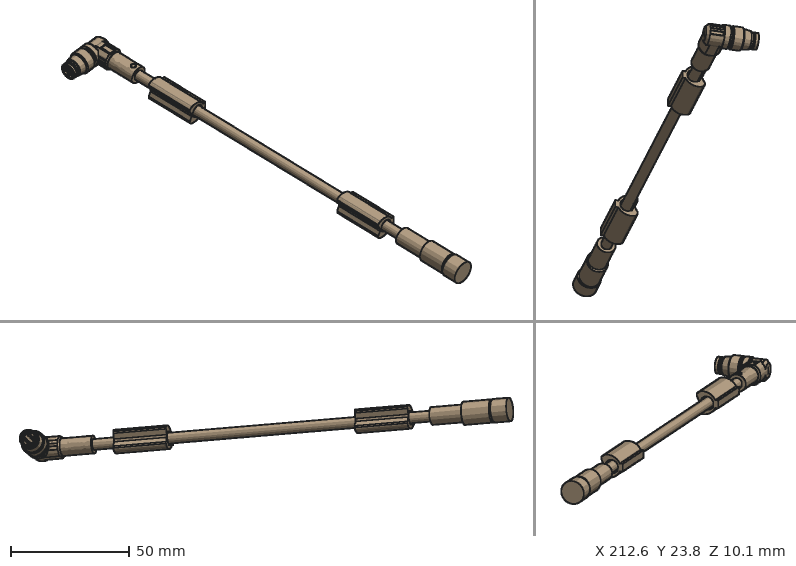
import cadquery as cq
import math


CABLE_RADIUS = 2.35
CABLE_START = 5.0

ELBOW_RADIUS = 4.6
ELBOW_TOP = 4.7
ELBOW_CHAMFER = 1.4
ELBOW_RIM_RADIUS = 5.05
ELBOW_RIM_START = -3.0
ELBOW_END = -5.6
NECK_RADIUS = 3.9
ELBOW_GRIP_START = -2.4
ELBOW_GRIP_END = 3.1
NUT_RADIUS = 5.05
NUT_START = -6.6
NUT_END = -11.2
NUT_CHAMFER = 0.5
BARREL_START_RADIUS = 4.5
BARREL_END_RADIUS = 4.0
BARREL_END = -15.0
TIP_RADIUS = 3.65
TIP_GROOVE_RADIUS = 3.3
TIP_GROOVE_START = -16.0
TIP_GROOVE_END = -16.7
TIP_END = -18.2
SOCKET_RADIUS = 3.0
SOCKET_DEPTH = 3.0

PIN_COUNT = 4
PIN_RADIUS = 0.5
PIN_CIRCLE_RADIUS = 1.75
PIN_END = -18.56

ARM_RADIUS = 4.9
ARM_HALF_HEIGHT = 4.45
ARM_END = 9.6
ARM_CHAMFER = 0.7
GRIP_START = 3.4
GRIP_END = 8.8
GRIP_DEPTH = 0.35
TOP_GRIP_WIDTH = 2.7
SIDE_GRIP_WIDTH = 1.5
SIDE_GRIP_OFFSET = 1.35

SLEEVE_HALF_WIDTH = 4.1
SLEEVE_HALF_HEIGHT = 3.8
ELBOW_SLEEVE_END = 23.4
DIMPLE_X = 20.6
DIMPLE_RADIUS = 1.1
DIMPLE_DEPTH = 0.4

STRAIGHT_SLEEVE_START = 173.2
COLLAR_START = 187.4
COLLAR_END = 199.7
COLLAR_HALF_HEIGHT = 5.0
COLLAR_HALF_WIDTH = 4.7
COLLAR_NECK_RADIUS = 2.9
SOCKET_NUT_START = 200.6
SOCKET_NUT_END = 207.56
SOCKET_NUT_HALF_WIDTH = 5.2
SOCKET_NUT_HALF_HEIGHT = 5.05

CLIP_STARTS = (33.5, 140.4)
CLIP_LENGTH = 23.4
CLIP_HALF_HEIGHT = 5.05
CLIP_ARC_RADIUS = 6.0
CLIP_ARC_CENTER_Z = CLIP_HALF_HEIGHT - CLIP_ARC_RADIUS
CLIP_CREST_Y = -1.6
CLIP_SHOULDER_Y = -3.4
CLIP_FRONT_Y = -4.75
CLIP_NOSE_Z = 3.6
CLIP_LIP_Z = 2.8
CLIP_GROOVE_Y = -3.6
CLIP_GROOVE_HALF_HEIGHT = 0.6
CLIP_RIB_Y = 5.1
CLIP_RIB_HALF_HEIGHT = 1.7
CLIP_CLEARANCE_RADIUS = 2.95
CLIP_CLEARANCE_DEPTH = 8.0


def rod(start, end, radius):
    """Solid cylinder on the cable axis."""
    return cq.Workplane("YZ", origin=(start, 0, 0)).circle(radius).extrude(end - start)


def oval_rod(start, end, half_width, half_height):
    """Solid elliptic cylinder on the cable axis."""
    section = cq.Workplane("YZ", origin=(start, 0, 0)).ellipse(half_width, half_height)
    return section.extrude(end - start)


def grip_cutter(radius, start, end):
    """Two shallow recesses, one above the other, in the -Y side of a rod on the cable axis."""
    length = end - start
    ring = rod(start, end, radius).cut(rod(start, end, radius - GRIP_DEPTH))
    windows = (
        cq.Workplane("XZ")
        .pushPoints([((start + end) / 2, side * SIDE_GRIP_OFFSET) for side in (-1, 1)])
        .rect(length, SIDE_GRIP_WIDTH)
        .extrude(radius)
    )
    return ring.intersect(windows)


def make_plug():
    """Stepped body of the elbow plug, with a round socket in its tip."""
    profile = [
        (0, ELBOW_TOP),
        (ELBOW_RADIUS - ELBOW_CHAMFER, ELBOW_TOP),
        (ELBOW_RADIUS, ELBOW_TOP - ELBOW_CHAMFER),
        (ELBOW_RADIUS, ELBOW_RIM_START),
        (ELBOW_RIM_RADIUS, ELBOW_RIM_START),
        (ELBOW_RIM_RADIUS, ELBOW_END),
        (NECK_RADIUS, ELBOW_END),
        (NECK_RADIUS, NUT_START),
        (NUT_RADIUS - NUT_CHAMFER, NUT_START),
        (NUT_RADIUS, NUT_START - NUT_CHAMFER),
        (NUT_RADIUS, NUT_END),
        (BARREL_START_RADIUS, NUT_END - NUT_CHAMFER),
        (BARREL_END_RADIUS, BARREL_END),
        (TIP_RADIUS, BARREL_END),
        (TIP_RADIUS, TIP_GROOVE_START),
        (TIP_GROOVE_RADIUS, TIP_GROOVE_START),
        (TIP_GROOVE_RADIUS, TIP_GROOVE_END),
        (TIP_RADIUS, TIP_GROOVE_END),
        (TIP_RADIUS, TIP_END),
        (SOCKET_RADIUS, TIP_END),
        (SOCKET_RADIUS, TIP_END + SOCKET_DEPTH),
        (0, TIP_END + SOCKET_DEPTH),
    ]
    plug = cq.Workplane("XY").polyline(profile).close().revolve(360, (0, 0, 0), (0, 1, 0))
    grips = grip_cutter(ELBOW_RADIUS, -ELBOW_GRIP_END, -ELBOW_GRIP_START)
    return plug.cut(grips.rotate((0, 0, 0), (0, 0, 1), -90))


def make_pins():
    """Contact pins standing on the socket floor."""
    socket_floor = TIP_END + SOCKET_DEPTH
    return (
        cq.Workplane("XZ", origin=(0, socket_floor, 0))
        .polarArray(PIN_CIRCLE_RADIUS, 0, 360, PIN_COUNT)
        .circle(PIN_RADIUS)
        .extrude(socket_floor - PIN_END)
    )


def make_arm():
    """Elbow arm along the cable: a flattened cylinder with shallow grip recesses."""
    arm = rod(0, ARM_END, ARM_RADIUS).faces(">X").chamfer(ARM_CHAMFER)
    flats = cq.Workplane("XY").box(2 * ARM_END, 2 * ARM_RADIUS, 2 * ARM_HALF_HEIGHT)
    arm = arm.intersect(flats)
    grip_length = GRIP_END - GRIP_START
    grip_x = (GRIP_START + GRIP_END) / 2
    top_grip = cq.Workplane("XY").box(grip_length, TOP_GRIP_WIDTH, 2 * GRIP_DEPTH)
    arm = arm.cut(top_grip.translate((grip_x, 0, ARM_HALF_HEIGHT)))
    side_grips = grip_cutter(ARM_RADIUS, GRIP_START, GRIP_END)
    return arm.cut(side_grips)


def make_elbow_sleeve():
    """Oval sleeve between arm and cable, with a small dimple on top."""
    dimple = (
        cq.Workplane("XY", origin=(DIMPLE_X, 0, SLEEVE_HALF_HEIGHT - DIMPLE_DEPTH))
        .circle(DIMPLE_RADIUS)
        .extrude(2 * DIMPLE_DEPTH)
    )
    sleeve = oval_rod(0, ELBOW_SLEEVE_END, SLEEVE_HALF_WIDTH, SLEEVE_HALF_HEIGHT)
    return sleeve.cut(dimple)


def make_straight_connector():
    """Sleeve, oval collar, neck and coupling nut at the far end of the cable."""
    collar = oval_rod(COLLAR_START, COLLAR_END, COLLAR_HALF_WIDTH, COLLAR_HALF_HEIGHT)
    nut = oval_rod(SOCKET_NUT_START, SOCKET_NUT_END, SOCKET_NUT_HALF_WIDTH, SOCKET_NUT_HALF_HEIGHT)
    sleeve = oval_rod(STRAIGHT_SLEEVE_START, COLLAR_START, SLEEVE_HALF_WIDTH, SLEEVE_HALF_HEIGHT)
    return (
        sleeve
        .union(collar)
        .union(rod(COLLAR_END, SOCKET_NUT_START, COLLAR_NECK_RADIUS))
        .union(nut)
    )


def clip_arc_z(y):
    """Height of the clip's upper arc at a given y."""
    return CLIP_ARC_CENTER_Z + math.sqrt(CLIP_ARC_RADIUS**2 - (y - CLIP_CREST_Y) ** 2)


def clip_arc_y(z):
    """Rear y of the clip's upper arc at a given height."""
    return CLIP_CREST_Y + math.sqrt(CLIP_ARC_RADIUS**2 - (z - CLIP_ARC_CENTER_Z) ** 2)


def make_clip(start):
    """Marker clip: rounded body, V groove in front, rib behind, relieved bore ends."""
    rib_root_y = clip_arc_y(CLIP_RIB_HALF_HEIGHT)
    shoulder_z = clip_arc_z(CLIP_SHOULDER_Y)
    upper_half = (
        cq.Workplane("YZ", origin=(start, 0, 0))
        .moveTo(CLIP_RIB_Y, 0)
        .lineTo(CLIP_RIB_Y, CLIP_RIB_HALF_HEIGHT)
        .lineTo(rib_root_y, CLIP_RIB_HALF_HEIGHT)
        .threePointArc((CLIP_CREST_Y, CLIP_HALF_HEIGHT), (CLIP_SHOULDER_Y, shoulder_z))
        .tangentArcPoint((CLIP_FRONT_Y, CLIP_NOSE_Z), relative=False)
        .lineTo(CLIP_FRONT_Y, CLIP_LIP_Z)
        .lineTo(CLIP_GROOVE_Y, CLIP_GROOVE_HALF_HEIGHT)
        .lineTo(CLIP_GROOVE_Y, 0)
        .close()
        .extrude(CLIP_LENGTH)
    )
    clip = upper_half.union(upper_half.mirror("XY"))
    end = start + CLIP_LENGTH
    clip = clip.cut(rod(start, start + CLIP_CLEARANCE_DEPTH, CLIP_CLEARANCE_RADIUS))
    return clip.cut(rod(end - CLIP_CLEARANCE_DEPTH, end, CLIP_CLEARANCE_RADIUS))


elbow = make_plug().union(make_arm()).union(make_elbow_sleeve()).union(make_pins())
result = elbow.union(make_straight_connector())
for clip_start in CLIP_STARTS:
    result = result.union(make_clip(clip_start))
result = result.union(rod(CABLE_START, COLLAR_START, CABLE_RADIUS))